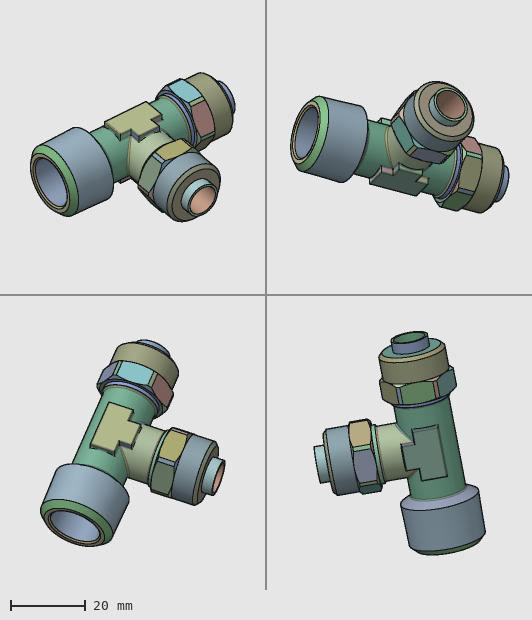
import cadquery as cq
import math


body_radius = 7.5
fillet_radius = 0.45

arm_length = 30.5
collar_radius = 8.0
collar_start = 13.4
tube_end = collar_start - fillet_radius
nut_start = 14.5
hex_end = 20.5
nut_length = 13.0
nut_end = nut_start + nut_length
nut_radius = 9.0
nut_chamfer = 1.0
tube_radius = 5.0
bore_radius = 4.25

hex_sides = 6
half_side_angle = 180 / hex_sides
hex_flats = 2 * nut_radius
hex_corner_radius = 10.05
hex_chamfer_angle = math.radians(30)

total_length = 58.5
spigot_end = total_length - arm_length
spigot_start = 14.75
spigot_diameter = 21.25
spigot_radius = spigot_diameter / 2
spigot_end_radius = 10.35
spigot_chamfer = 1.7
shoulder_angle = math.radians(30)
shoulder_turn = math.pi / 2 - shoulder_angle
shoulder_length = (spigot_radius - body_radius) * math.tan(shoulder_angle)
shoulder_start = spigot_start - shoulder_length - fillet_radius * math.tan(shoulder_turn / 2)

socket_radius = 7.0
socket_chamfer = 0.45
socket_depth = 12.85
socket_tip_angle = math.radians(30)

pad_module = 3.5
pad_height = 8.55
pad_edge_radius = 0.25

crease_height = 6.7
selection_margin = 0.05


def turned(profile):
    """Revolve a closed (radius, Y) profile about the Y axis."""
    return profile.close().revolve(360, (0, 0, 0), (0, 1, 0))


def turned_polygon(points):
    """Revolve a straight-sided outline of (radius, Y) points about the Y axis."""
    return turned(cq.Workplane("ZY").polyline(points))


def point_along_x(shape):
    """Turn a shape built along +Y to lie along +X."""
    return shape.rotate((0, 0, 0), (0, 0, 1), -90)


def make_hexagon():
    """Nut hexagon with flats facing +Z and -Z, both ends chamfered and the corners turned down."""
    corner_drop = (hex_corner_radius - nut_radius) * math.tan(hex_chamfer_angle)
    prism = (
        cq.Workplane("XZ", origin=(0, nut_start, 0))
        .polygon(hex_sides, hex_flats, circumscribed=True)
        .extrude(-(hex_end - nut_start))
        .rotate((0, 0, 0), (0, 1, 0), half_side_angle)
    )
    envelope = turned_polygon([
        (0, nut_start),
        (nut_radius, nut_start),
        (hex_corner_radius, nut_start + corner_drop),
        (hex_corner_radius, hex_end - corner_drop),
        (nut_radius, hex_end),
        (0, hex_end),
    ])
    return prism.intersect(envelope)


def make_arm():
    """Collar, nut and tube end of the arm along +Y, beyond the plain body tube."""
    arc_offset = fillet_radius * (1 - math.sqrt(0.5))
    turning = turned(
        cq.Workplane("ZY")
        .moveTo(0, tube_end)
        .lineTo(body_radius, tube_end)
        .threePointArc(
            (body_radius + arc_offset, collar_start - arc_offset),
            (body_radius + fillet_radius, collar_start),
        )
        .lineTo(collar_radius, collar_start)
        .lineTo(collar_radius, nut_start)
        .lineTo(nut_radius, nut_start)
        .lineTo(nut_radius, nut_end - nut_chamfer)
        .lineTo(nut_radius - nut_chamfer, nut_end)
        .lineTo(tube_radius, nut_end)
        .lineTo(tube_radius, arm_length)
        .lineTo(0, arm_length)
    )
    return turning.union(make_hexagon())


def make_spigot():
    """Filleted conical shoulder and the tapered, chamfered thread, beyond the plain body tube."""
    fillet_centre = body_radius + fillet_radius
    half_turn = shoulder_turn / 2
    return turned(
        cq.Workplane("ZY")
        .moveTo(0, -shoulder_start)
        .lineTo(body_radius, -shoulder_start)
        .threePointArc(
            (fillet_centre - fillet_radius * math.cos(half_turn),
             -shoulder_start - fillet_radius * math.sin(half_turn)),
            (fillet_centre - fillet_radius * math.cos(shoulder_turn),
             -shoulder_start - fillet_radius * math.sin(shoulder_turn)),
        )
        .lineTo(spigot_radius, -spigot_start)
        .lineTo(spigot_end_radius, -(spigot_end - spigot_chamfer))
        .lineTo(spigot_end_radius - spigot_chamfer, -spigot_end)
        .lineTo(0, -spigot_end)
    )


def make_tubes():
    """Plain body tubes of the run and the branch, meeting in two mitre creases rounded by a fillet."""
    run_tube = turned_polygon([
        (0, -shoulder_start),
        (body_radius, -shoulder_start),
        (body_radius, tube_end),
        (0, tube_end),
    ])
    branch_tube = turned_polygon([
        (0, 0),
        (body_radius, 0),
        (body_radius, tube_end),
        (0, tube_end),
    ])
    tubes = run_tube.union(point_along_x(branch_tube))
    side = 4 * body_radius
    middle_slab = tubes.intersect(cq.Workplane("XY").box(side, side, 2 * crease_height))
    fillets = middle_slab.edges("%ELLIPSE").fillet(fillet_radius).cut(tubes)
    return tubes.union(fillets)


def make_pads():
    """T-shaped block through the crossing, its stem towards the branch, rims rounded."""
    crossbar = cq.Workplane("XY").box(2 * pad_module, 4 * pad_module, 2 * pad_height)
    stem = (
        cq.Workplane("XY")
        .box(2 * pad_module, 2 * pad_module, 2 * pad_height)
        .translate((pad_module, 0, 0))
    )
    return crossbar.union(stem).faces("<Z or >Z").edges().fillet(pad_edge_radius)


def make_bores():
    """Through bore of the run, branch bore, and the stepped socket in the spigot."""
    run_bore = cq.Workplane("XZ", origin=(0, -spigot_end, 0)).circle(bore_radius).extrude(-total_length)
    branch_bore = cq.Workplane("YZ").circle(bore_radius).extrude(arm_length)
    tip_length = socket_radius * math.tan(socket_tip_angle)
    socket = turned_polygon([
        (0, -spigot_end),
        (socket_radius + socket_chamfer, -spigot_end),
        (socket_radius, -spigot_end + socket_chamfer),
        (socket_radius, -spigot_end + socket_depth),
        (0, -spigot_end + socket_depth + tip_length),
    ])
    return run_bore.union(branch_bore).union(socket)


def blend_pad_bases(body):
    """Fillet the edges where the pad walls meet the body tubes, above and below."""
    wall_reach = 2 * pad_module + selection_margin
    lowest = math.sqrt(body_radius**2 - pad_module**2) - selection_margin
    highest = body_radius + selection_margin
    for low, high in ((lowest, highest), (-highest, -lowest)):
        base = cq.selectors.BoxSelector(
            (-pad_module - selection_margin, -wall_reach, low),
            (wall_reach, wall_reach, high),
            boundingbox=True,
        )
        body = body.edges(base).fillet(pad_edge_radius)
    return body


arm = make_arm()
tee = make_tubes().union(arm).union(point_along_x(arm)).union(make_spigot()).union(make_pads())
result = blend_pad_bases(tee).cut(make_bores())